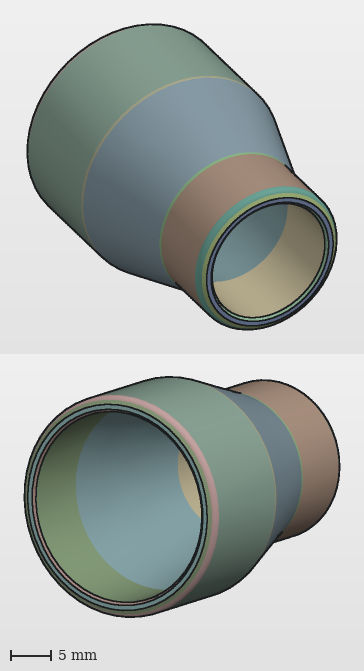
import cadquery as cq
import math

length = 38.0
large_radius = 28.0 / 2
small_radius = 20.0 / 2
large_bore_radius = 24.0 / 2
small_bore_radius = 16.0 / 2
large_length = 15.0
small_length = 10.0
large_bore_length = 10.0
blend_radius = 1.33
bevel_depth = 0.3
bevel_angle = 60.0
rim_round_radius = 1.0
mouth_chamfer = 0.35


def rim_points(outer_radius):
    """Rim as (distance from end, radius): end face, bevel end, arc middle, wall."""
    turn = math.radians(bevel_angle)
    center_radius = outer_radius - rim_round_radius
    wall_depth = bevel_depth + rim_round_radius * math.sin(turn)

    def on_round(angle):
        return (wall_depth - rim_round_radius * math.sin(angle),
                center_radius + rim_round_radius * math.cos(angle))

    bevel_end = on_round(turn)
    face_edge = (0, bevel_end[1] - bevel_depth * math.tan(turn))
    return face_edge, bevel_end, on_round(turn / 2), on_round(0)


def from_far_end(point):
    return (length - point[0], point[1])


cone_start = large_length
cone_end = length - small_length
cone_angle = math.atan2(large_radius - small_radius, cone_end - cone_start)
tangent_length = blend_radius * math.tan(cone_angle / 2)
tangent_x = tangent_length * math.cos(cone_angle)
tangent_r = tangent_length * math.sin(cone_angle)
arc_half_x = blend_radius * math.sin(cone_angle / 2)
arc_half_r = blend_radius * (1 - math.cos(cone_angle / 2))
large_wall_end = cone_start - tangent_length
small_wall_start = cone_end + tangent_length

large_rim = rim_points(large_radius)
small_rim = [from_far_end(point) for point in rim_points(small_radius)]

section = (
    cq.Workplane("XZ")
    .moveTo(0, large_bore_radius + mouth_chamfer)
    .lineTo(*large_rim[0])
    .lineTo(*large_rim[1])
    .threePointArc(large_rim[2], large_rim[3])
    .lineTo(large_wall_end, large_radius)
    .threePointArc(
        (large_wall_end + arc_half_x, large_radius - arc_half_r),
        (cone_start + tangent_x, large_radius - tangent_r),
    )
    .lineTo(cone_end - tangent_x, small_radius + tangent_r)
    .threePointArc(
        (small_wall_start - arc_half_x, small_radius + arc_half_r),
        (small_wall_start, small_radius),
    )
    .lineTo(*small_rim[3])
    .threePointArc(small_rim[2], small_rim[1])
    .lineTo(*small_rim[0])
    .lineTo(length, small_bore_radius + mouth_chamfer)
    .lineTo(length - mouth_chamfer, small_bore_radius)
    .lineTo(cone_end, small_bore_radius)
    .lineTo(large_bore_length, large_bore_radius)
    .lineTo(mouth_chamfer, large_bore_radius)
    .close()
)

result = section.revolve(360, (0, 0, 0), (1, 0, 0))